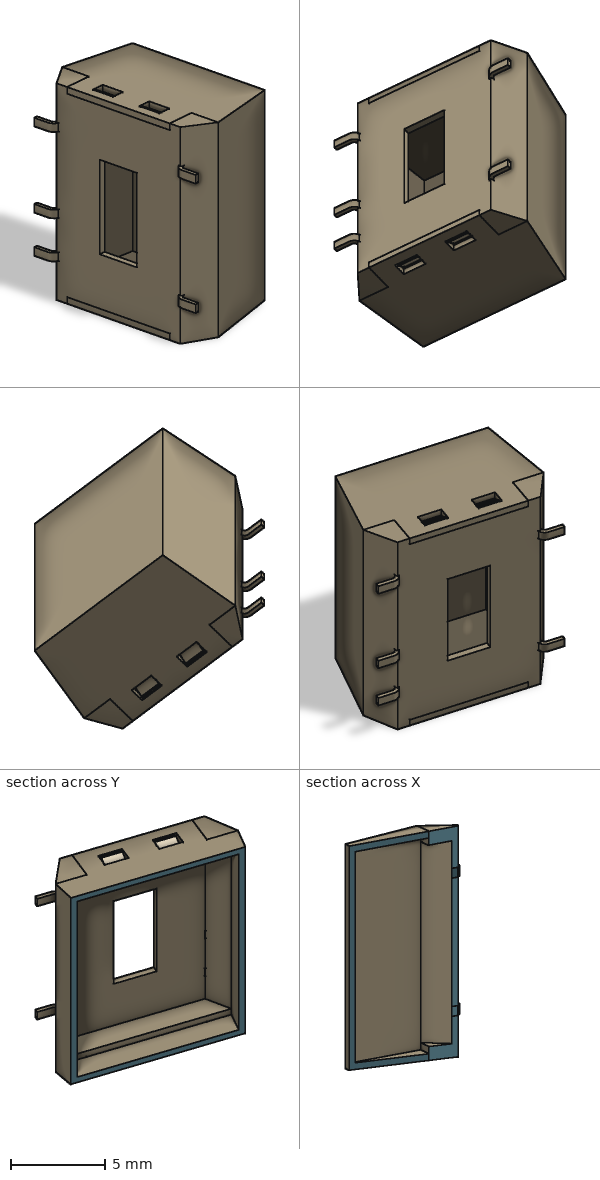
import cadquery as cq
import math

total_height = 6.71
split_height = 1.82
mount_half_width = 4.26
split_half_width = 5.37
roof_half_width = 4.55
mount_half_length = 6.38
roof_half_length = 6.18
wall = 0.4

tongue_half_width = 3.53

opening_width = 2.55
opening_length = 5.56

window_inner_x = 0.9
window_width = 1.39
window_low = 0.65
window_high = 1.48
wedge_inner_x = 0.95
wedge_width = 1.24
wedge_ridge_high = 0.83
wedge_ridge_low = 0.78
wedge_high = 1.43
ridge_inset = 0.06
recess_depth = 0.05
catch_angle = 25.0

pin_thickness = 0.24
pin_width = 0.51
pin_span = 11.1
pin_shank_x = 4.09
pin_foot_low = -0.29
pin_bend_radius = 0.28
pin_pitch = 2.54
left_pin_steps = (1.5, -0.5, -1.5)
right_pin_steps = (1.5, -1.5)


def half_width(y):
    """Half X of the shell at height y."""
    if y <= split_height:
        return mount_half_width + (split_half_width - mount_half_width) * y / split_height
    taper = (split_half_width - roof_half_width) / (total_height - split_height)
    return split_half_width - taper * (y - split_height)


def half_length(y):
    """Half Z of the shell at height y."""
    return mount_half_length - (mount_half_length - roof_half_length) * y / total_height


def frustum(low, high, x_inset=0.0, z_inset=0.0):
    """Four-sided tapered block between two heights, inset from the shell faces."""
    x_low = half_width(low) - x_inset
    x_high = half_width(high) - x_inset
    z_low = half_length(low) - z_inset
    z_high = half_length(high) - z_inset
    x_profile = (
        cq.Workplane("XY")
        .polyline([(-x_low, low), (x_low, low), (x_high, high), (-x_high, high)])
        .close()
        .extrude(mount_half_length, both=True)
    )
    z_profile = (
        cq.Workplane("YZ")
        .polyline([(low, -z_low), (low, z_low), (high, z_high), (high, -z_high)])
        .close()
        .extrude(split_half_width, both=True)
    )
    return x_profile.intersect(z_profile)


def make_tongues():
    """Both end tongues: the end walls of the case continued down to the mounting face."""
    strip = cq.Workplane("XY").box(
        2 * tongue_half_width, split_height, 2 * mount_half_length, centered=(True, False, True)
    )
    ends = frustum(0, split_height).cut(frustum(0, split_height, z_inset=wall))
    return ends.intersect(strip)


def window_columns():
    """Two bars along Z with the outline of the snap windows."""
    window_x = window_inner_x + window_width / 2
    window_y = (window_low + window_high) / 2
    return (
        cq.Workplane("XY")
        .pushPoints([(-window_x, window_y), (window_x, window_y)])
        .rect(window_width, window_high - window_low)
        .extrude(mount_half_length, both=True)
    )


def make_case():
    """Tapered hollow case with windowed end tongues."""
    shell = frustum(split_height, total_height)
    cavity = frustum(split_height, total_height - wall, x_inset=wall, z_inset=wall)
    return shell.cut(cavity).union(make_tongues().cut(window_columns()))


def make_wedge(x_side, z_side):
    """Snap wedge: a long ramp rising toward the mounting face, a flat ridge and a sloped catch face."""
    root = mount_half_length - 2 * wall
    ramp_foot = half_length(wedge_high) - wall - recess_depth
    ridge = mount_half_length - ridge_inset
    catch_run = wedge_ridge_low - window_low
    catch_edge = ridge - catch_run * math.tan(math.radians(catch_angle))
    profile = [
        (wedge_high, root),
        (wedge_high, ramp_foot),
        (wedge_ridge_high, ridge),
        (wedge_ridge_low, ridge),
        (window_low, catch_edge),
        (window_low, root),
    ]
    inner_x = wedge_inner_x if x_side > 0 else -wedge_inner_x - wedge_width
    return (
        cq.Workplane("YZ", origin=(inner_x, 0, 0))
        .polyline([(y, z_side * z) for y, z in profile])
        .close()
        .extrude(wedge_width)
    )


def make_base(pins):
    """Open tray with notches for the tongues, a central window, snap wedges and pin holes."""
    tray = frustum(0, split_height).cut(make_tongues())
    tray = tray.cut(frustum(wall, split_height, x_inset=wall, z_inset=2 * wall))
    opening = cq.Workplane("XZ").rect(opening_width, opening_length).extrude(-wall)
    tray = tray.cut(opening)
    recess_shell = frustum(0, split_height).cut(frustum(0, split_height, z_inset=wall + recess_depth))
    tray = tray.cut(recess_shell.intersect(window_columns()))
    for x_side in (-1, 1):
        for z_side in (-1, 1):
            tray = tray.union(make_wedge(x_side, z_side))
    for pin in pins:
        tray = tray.cut(pin)
    return tray


def make_pin(side, z):
    """Gull-wing pin: flat foot, quarter bend, upright shank buried in the base."""
    tip_x = pin_span / 2
    outer_radius = pin_bend_radius + pin_thickness
    bend_x = pin_shank_x + outer_radius
    bend_y = pin_foot_low + outer_radius
    foot_top = pin_foot_low + pin_thickness
    diagonal = math.sqrt(0.5)
    outline = (
        cq.Workplane("XY", origin=(0, 0, z))
        .moveTo(tip_x, pin_foot_low)
        .lineTo(bend_x, pin_foot_low)
        .threePointArc(
            (bend_x - outer_radius * diagonal, bend_y - outer_radius * diagonal),
            (pin_shank_x, bend_y),
        )
        .lineTo(pin_shank_x, wall)
        .lineTo(pin_shank_x + pin_thickness, wall)
        .lineTo(pin_shank_x + pin_thickness, bend_y)
        .threePointArc(
            (bend_x - pin_bend_radius * diagonal, bend_y - pin_bend_radius * diagonal),
            (bend_x, foot_top),
        )
        .lineTo(tip_x, foot_top)
        .close()
    )
    pin = outline.extrude(pin_width / 2, both=True)
    if side < 0:
        pin = pin.mirror("YZ")
    return pin


pins = [make_pin(-1, step * pin_pitch) for step in left_pin_steps]
pins += [make_pin(1, step * pin_pitch) for step in right_pin_steps]
base = make_base(pins)
case = make_case()

result = cq.Compound.makeCompound([base.val(), case.val(), *[pin.val() for pin in pins]])